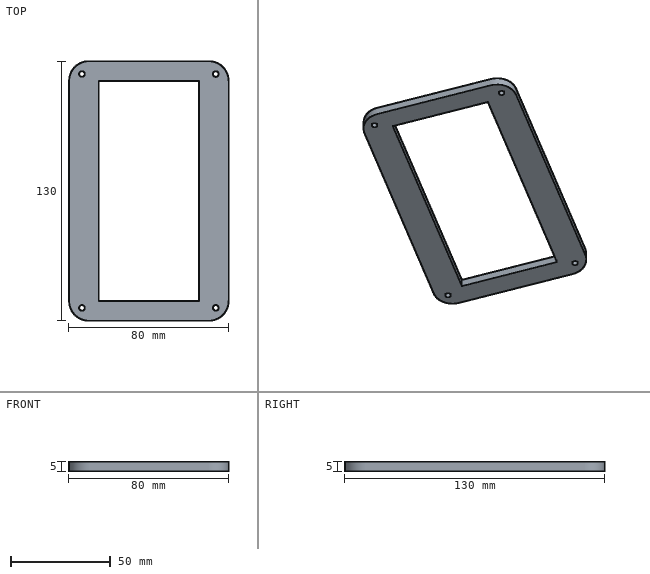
import cadquery as cq

length = 130.0
width = 80.0
thickness = 5.0
corner_radius = 10.0

side_border = 15.0
end_border = corner_radius
window_width = width - 2 * side_border
window_length = length - 2 * end_border

hole_diameter = 2.7
hole_inset = 6.5
hole_spacing_x = width - 2 * hole_inset
hole_spacing_y = length - 2 * hole_inset


def rounded_plate():
    """Flat plate with its vertical corner edges rounded."""
    plate = cq.Workplane("XY").box(width, length, thickness)
    return plate.edges("|Z").fillet(corner_radius)


def cut_window(plate):
    """Cut the sharp-cornered rectangular window through the plate."""
    return plate.faces(">Z").workplane().rect(window_width, window_length).cutThruAll()


def drill_mounting_holes(plate):
    """Drill one plain through hole near each corner."""
    corners = plate.faces(">Z").workplane().rect(
        hole_spacing_x, hole_spacing_y, forConstruction=True
    ).vertices()
    return corners.hole(hole_diameter)


result = drill_mounting_holes(cut_window(rounded_plate()))